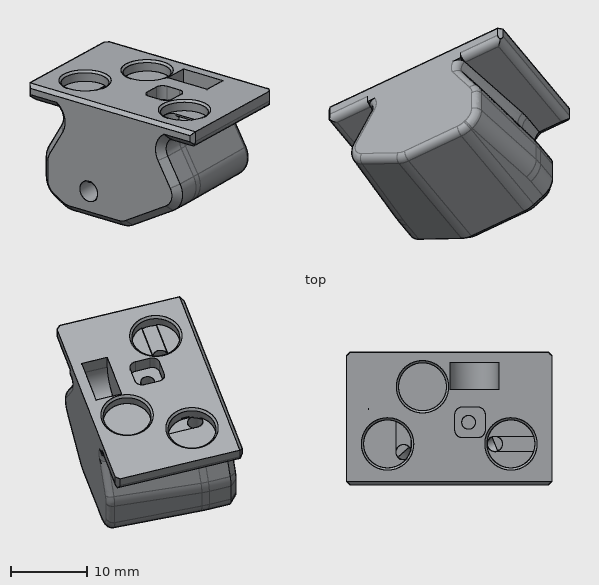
import cadquery as cq
import math

width = 27.0
depth = 17.5
height = 16.7
front_y = -depth / 2
back_y = depth / 2

plate_thickness = 2.4
plate_underside = height - plate_thickness
plate_edge_radius = 1.0
small_chamfer = 0.5
large_chamfer = 1.0

neck_radius = 2.0
neck_x = 10.37
neck_depth = 1.55
back_neck_radius = 1.43
left_wall_x = -11.18
left_wall_top = 7.37
bottom_left_x = -7.55
bottom_right_x = 2.25
side_angle = math.radians(30)
small_setback = 0.8
wall_setback = 1.73
nose_setback = 3.0
taper_start = front_y + 4.0
taper_full = front_y + 5.0
taper_full_share = 0.04
back_inset = 1.35
back_edge_radius = 1.0
selection_margin = 0.03

pocket_diameter = 6.3
pocket_depth = 1.5
pocket_chamfer = 0.3
chamfer_angle = 45
side_pocket_x = 8.1
side_pocket_y = -3.32
rear_pocket_x = -3.5
rear_pocket_y = 4.18
pocket_floor = height - pocket_depth

wire_diameter = 2.0
channel_depth = 0.25
channel_floor = pocket_floor - channel_depth
shaft_x = 6.0
left_shaft_y = -4.4
front_hole_diameter = 2.9
front_hole_x = -3.5
front_hole_z = 3.92
front_hole_depth = 5.95
shaft_foot_z = 6.75
junction_depth = 1.62
junction = cq.Vector(front_hole_x, front_y + junction_depth, front_hole_z)

slot_width = 6.43
slot_length = 3.5
slot_x = 3.32
slot_y = 5.6
slot_axis_z = height - 2.05

recess_size = 4.02
recess_corner_radius = 1.0
recess_depth = 2.0
recess_x = 2.73
recess_y = -0.49
recess_hole_diameter = 1.8
recess_hole_x = 2.55
recess_hole_depth = 2.0


def toward(start, end, distance):
    """Point at a distance from start on the line to end."""
    length = math.dist(start, end)
    return tuple(a + (b - a) * distance / length for a, b in zip(start, end))


def outline(y, taper, rim):
    """Closed outline at depth y of the grip, whose taper runs from 0 in front to 1 at the back.

    The rim points lead from the right neck over the top to the left neck.
    """
    wall_x = left_wall_x + taper * back_inset
    wall_top = (wall_x, left_wall_top)
    wall_foot = (wall_x, (bottom_left_x - wall_x) * math.tan(side_angle))

    ramp_length = (-wall_x - bottom_right_x) * math.cos(side_angle) + left_wall_top * math.sin(side_angle)
    nose = (bottom_right_x + ramp_length * math.cos(side_angle), ramp_length * math.sin(side_angle))

    radius = neck_radius + taper * (back_neck_radius - neck_radius)
    rise = math.asin(neck_depth / neck_radius)
    center_z = plate_underside - radius * math.sin(rise)
    lift = center_z - plate_underside + neck_depth
    shift = (lift * math.sin(side_angle) + neck_radius - radius) / math.cos(side_angle)
    center_x = neck_x - taper * back_inset - shift
    middle = (rise - side_angle) / 2

    def neck_point(angle, side):
        inward = radius * math.cos(angle) - center_x
        return (-side * inward, center_z + radius * math.sin(angle))

    left_start = neck_point(rise, -1)
    left_end = neck_point(-side_angle, -1)
    right_start = neck_point(-side_angle, 1)
    right_end = neck_point(rise, 1)

    corners = [
        (wall_top, small_setback),
        (wall_foot, wall_setback),
        ((bottom_left_x, 0), small_setback),
        ((bottom_right_x, 0), small_setback),
        (nose, nose_setback),
    ]
    stops = [left_end] + [corner for corner, _ in corners] + [right_start]

    path = cq.Workplane("XZ", origin=(0, y, 0)).moveTo(*left_start)
    path = path.threePointArc(neck_point(middle, -1), left_end)
    for before, (corner, setback), after in zip(stops, corners, stops[2:]):
        path = path.lineTo(*toward(corner, before, setback))
        path = path.tangentArcPoint(toward(corner, after, setback), relative=False)
    path = path.lineTo(*right_start)
    path = path.threePointArc(neck_point(middle, 1), right_end)
    for point in rim(left_start, right_end):
        path = path.lineTo(*point)
    return path.close().wire().val()


def grip_rim(left_neck, right_neck):
    """Carries the grip straight up into the plate."""
    top = plate_underside + plate_thickness / 2
    return [(right_neck[0], top), (left_neck[0], top)]


def bevel_rim(left_neck, right_neck):
    """Runs around the plate, so far outside it that the wide bevel becomes the small chamfer there."""
    side = width / 2 + large_chamfer - small_chamfer
    top = height + large_chamfer - small_chamfer
    return [(side, plate_underside), (side, top), (-side, top), (-side, plate_underside)]


def make_grip():
    """Straight at the front, then tapering a little toward the back."""
    stations = [(front_y, 0), (taper_start, 0), (taper_full, taper_full_share), (back_y, 1)]
    sections = [outline(y, taper, grip_rim) for y, taper in stations]
    return cq.Workplane(cq.Solid.makeLoft(sections, True))


def front_bevel_waste():
    """What the bevel around the front face takes away."""
    foot = outline(front_y + large_chamfer, 0, bevel_rim)
    face = foot.offset2D(-large_chamfer, "intersection")[0].translate(cq.Vector(0, -large_chamfer, 0))
    kept = cq.Workplane(cq.Solid.makeLoft([face, foot], True))
    layer = cq.Workplane("XY", origin=(0, front_y + large_chamfer / 2, height / 2))
    return layer.box(2 * width, large_chamfer, 2 * height).cut(kept)


def make_plate():
    return cq.Workplane("XY", origin=(0, 0, plate_underside)).box(
        width, depth, plate_thickness, centered=(True, True, False)
    )


def plate_edge_waste(grip):
    """What the round under the plate's side and back edges takes away, clear of the grip."""
    rounded = make_plate().faces("<Z").edges("not <Y").fillet(plate_edge_radius)
    return make_plate().cut(rounded).cut(grip)


def corner_waste():
    """Wedges that bevel the plate's two back corners."""
    wedges = cq.Workplane("XY", origin=(0, 0, plate_underside))
    for side in (-1, 1):
        corner = (side * width / 2, back_y)
        wedges = (
            wedges.moveTo(*corner)
            .lineTo(corner[0] - side * small_chamfer, back_y)
            .lineTo(corner[0], back_y - small_chamfer)
            .close()
        )
    return wedges.extrude(plate_thickness)


def make_block():
    grip = make_grip()
    block = make_plate().union(grip)
    grip_back = cq.selectors.BoxSelector(
        (-width, back_y - selection_margin, -selection_margin),
        (width, back_y + selection_margin, plate_underside - selection_margin),
    )
    block = block.faces(">Y").edges(grip_back).fillet(back_edge_radius)
    block = block.cut(front_bevel_waste())
    block = block.cut(plate_edge_waste(grip)).cut(corner_waste())
    return block


def round_pocket(x, y):
    """Flat-bottomed round pocket with a chamfered mouth."""
    pocket = cq.Workplane("XY", origin=(x, y, pocket_floor)).circle(pocket_diameter / 2)
    pocket = pocket.extrude(pocket_depth)
    rim = cq.Workplane("XY", origin=(x, y, height)).circle(pocket_diameter / 2 + pocket_chamfer)
    return pocket.union(rim.extrude(-pocket_chamfer, taper=chamfer_angle))


def channel(start, end):
    """Shallow round-ended trench below the pocket floors."""
    length = math.dist(start, end)
    angle = math.degrees(math.atan2(end[1] - start[1], end[0] - start[0]))
    middle = ((start[0] + end[0]) / 2, (start[1] + end[1]) / 2, pocket_floor)
    trench = cq.Workplane("XY", origin=middle).slot2D(length + wire_diameter, wire_diameter, angle)
    return trench.extrude(-channel_depth)


def passage(start, end):
    """Round wire passage between two points."""
    way = end - start
    return cq.Workplane(cq.Solid.makeCylinder(wire_diameter / 2, way.Length, start, way))


def pocket_with_channel(x, y, start, end):
    """Round pocket whose floor has a channel that stops at the pocket wall."""
    pocket = round_pocket(x, y)
    reach = (
        cq.Workplane("XY", origin=(x, y, pocket_floor))
        .circle(pocket_diameter / 2)
        .extrude(-channel_depth)
    )
    return pocket.union(channel(start, end).intersect(reach))


def wiring():
    """Front hole and the passages that lead to it from the two side pockets."""
    hole = (
        cq.Workplane("XZ", origin=(front_hole_x, front_y, front_hole_z))
        .circle(front_hole_diameter / 2)
        .extrude(-front_hole_depth)
    )
    left_top = cq.Vector(-shaft_x, left_shaft_y, channel_floor)
    left_foot = cq.Vector(-shaft_x, left_shaft_y, shaft_foot_z)
    right_top = cq.Vector(shaft_x, side_pocket_y, channel_floor)
    right_foot = cq.Vector(shaft_x, side_pocket_y, shaft_foot_z)
    for top, foot in ((left_top, left_foot), (right_top, right_foot)):
        hole = hole.union(passage(top, foot))
        hole = hole.union(passage(foot, junction))
    return hole


def round_bottomed_slot():
    radius = slot_width / 2
    profile = (
        cq.Workplane("XZ", origin=(slot_x, slot_y + slot_length / 2, slot_axis_z))
        .moveTo(-radius, height - slot_axis_z)
        .lineTo(-radius, 0)
        .threePointArc((0, -radius), (radius, 0))
        .lineTo(radius, height - slot_axis_z)
        .close()
    )
    return profile.extrude(slot_length)


def square_recess():
    recess = (
        cq.Workplane("XY", origin=(recess_x, recess_y, height))
        .rect(recess_size, recess_size)
        .extrude(-recess_depth)
        .edges("|Z")
        .fillet(recess_corner_radius)
    )
    hole = cq.Workplane("XY", origin=(recess_hole_x, recess_y, height - recess_depth))
    return recess.union(hole.circle(recess_hole_diameter / 2).extrude(-recess_hole_depth))


def make_housing():
    housing = make_block()
    left_start = (-shaft_x, left_shaft_y)
    left_end = (-shaft_x, side_pocket_y + pocket_diameter)
    right_start = (shaft_x, side_pocket_y)
    right_end = (side_pocket_x + pocket_diameter, side_pocket_y)
    cuts = [
        round_pocket(rear_pocket_x, rear_pocket_y),
        pocket_with_channel(-side_pocket_x, side_pocket_y, left_start, left_end),
        pocket_with_channel(side_pocket_x, side_pocket_y, right_start, right_end),
        wiring(),
        round_bottomed_slot(),
        square_recess(),
    ]
    for cut in cuts:
        housing = housing.cut(cut)
    return housing


housing = make_housing()
result = cq.Compound.makeCompound([*housing.vals()])